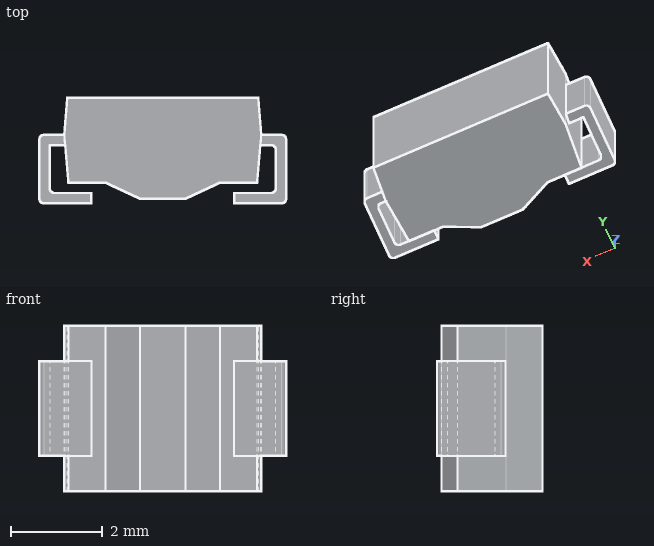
import cadquery as cq

body_height = 3.62
body_back_y = 2.31
body_waist_y = 1.51
body_front_y = 0.45
belly_y = 0.10
body_back_half = 2.09
body_waist_half = 2.155
body_front_half = 2.065
belly_base_half = 1.25
belly_half = 0.50

lead_span = 5.40
lead_width = 2.07
lead_thickness = 0.23
lead_top_y = 1.50
foot_length = 1.14
bend_radius = 0.10
lead_embed = 0.20


def make_body():
    right_side = [
        (belly_half, belly_y),
        (belly_base_half, body_front_y),
        (body_front_half, body_front_y),
        (body_waist_half, body_waist_y),
        (body_back_half, body_back_y),
    ]
    left_side = [(-x, y) for x, y in reversed(right_side)]
    profile = cq.Workplane("XY").polyline(right_side + left_side).close()
    return profile.extrude(body_height / 2, both=True)


def make_lead(side, round_upper_inner_bend):
    """C-shaped lead; side is +1 for the +X end and -1 for the -X end."""
    outer_x = side * lead_span / 2
    inner_x = side * (lead_span / 2 - lead_thickness)
    arm_end_x = side * (body_waist_half - lead_embed)
    foot_end_x = side * (lead_span / 2 - foot_length)
    arm_under_y = lead_top_y - lead_thickness
    outline = [
        (arm_end_x, lead_top_y),
        (outer_x, lead_top_y),
        (outer_x, 0),
        (foot_end_x, 0),
        (foot_end_x, lead_thickness),
        (inner_x, lead_thickness),
        (inner_x, arm_under_y),
        (arm_end_x, arm_under_y),
    ]
    lead = cq.Workplane("XY").polyline(outline).close().extrude(lead_width / 2, both=True)

    bends = [(outer_x, lead_top_y), (outer_x, 0), (inner_x, lead_thickness)]
    if round_upper_inner_bend:
        bends.append((inner_x, arm_under_y))
    for x, y in bends:
        bend_edge = cq.selectors.NearestToPointSelector((x, y, 0))
        lead = lead.edges("|Z").edges(bend_edge).fillet(bend_radius)
    return lead


right_lead = make_lead(1, round_upper_inner_bend=True)
left_lead = make_lead(-1, round_upper_inner_bend=False)
result = make_body().union(right_lead).union(left_lead)